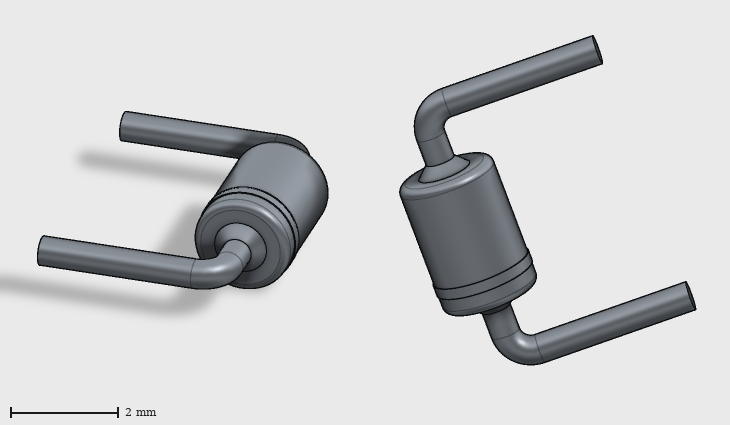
import cadquery as cq


wire_diameter = 0.56
lead_pitch = 5.08
lead_reach = 3.495
bend_radius = 0.5

body_diameter = 1.86
body_length = 2.605
edge_fillet = 0.15
collar_base_diameter = 1.015
collar_length = 0.225

band_diameter = 1.9
band_width = 0.215
band_end_distance = 0.4
band_depth = 0.03

wire_radius = wire_diameter / 2
body_radius = body_diameter / 2
half_length = body_length / 2
half_pitch = lead_pitch / 2
band_inner_radius = body_radius - band_depth
band_start = band_end_distance - half_length


def make_tube(outer_radius, inner_radius, length, start):
    """Ring around the Y axis that runs from start toward +Y."""
    return (
        cq.Workplane("XZ", origin=(0, start, 0))
        .circle(outer_radius)
        .circle(inner_radius)
        .extrude(-length)
    )


def make_band():
    return make_tube(band_diameter / 2, band_inner_radius, band_width, band_start)


def make_body():
    """Rounded cylinder with end collars, a wire bore and a groove for the band."""
    collar_radius = collar_base_diameter / 2
    collar_end = half_length + collar_length
    fillet_start = half_length - edge_fillet
    fillet_inner = body_radius - edge_fillet
    blank = (
        cq.Workplane("XY")
        .moveTo(wire_radius, -collar_end)
        .lineTo(collar_radius, -half_length)
        .lineTo(fillet_inner, -half_length)
        .radiusArc((body_radius, -fillet_start), -edge_fillet)
        .lineTo(body_radius, fillet_start)
        .radiusArc((fillet_inner, half_length), -edge_fillet)
        .lineTo(collar_radius, half_length)
        .lineTo(wire_radius, collar_end)
        .close()
        .revolve(360, (0, 0, 0), (0, 1, 0))
    )
    groove = make_band()
    return blank.cut(groove)


def make_wire():
    """One round wire through the body, bent at both ends."""
    path = (
        cq.Workplane("XY")
        .moveTo(-lead_reach, -half_pitch)
        .lineTo(-bend_radius, -half_pitch)
        .radiusArc((0, bend_radius - half_pitch), -bend_radius)
        .lineTo(0, half_pitch - bend_radius)
        .radiusArc((-bend_radius, half_pitch), -bend_radius)
        .lineTo(-lead_reach, half_pitch)
    )
    return (
        cq.Workplane("YZ", origin=(-lead_reach, -half_pitch, 0))
        .circle(wire_radius)
        .sweep(path)
    )


body = make_body()
band = make_band()
wire = make_wire()

result = cq.Compound.makeCompound([body.val(), band.val(), wire.val()])